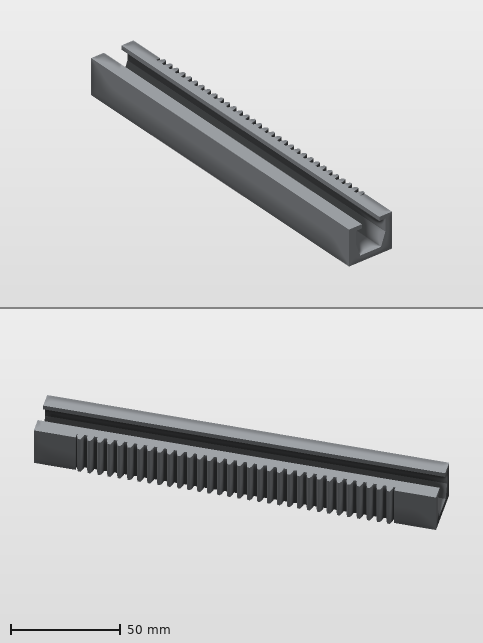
import cadquery as cq
import math

length = 190.0
overall_depth = 25.8
height = 20.0

wall = 4.0
floor_thickness = 3.5
lip_thickness = 2.3
cavity_width = 17.3
slot_width = 10.3
floor_width = 12.2
taper_top = 10.6
channel_center = wall + cavity_width / 2

tooth_count = 32
module = 1.5
pitch = math.pi * module
tooth_depth = 2.25 * module
first_tooth_x = 22.2
tooth_base_width = 3.2
tooth_shoulder_width = 2.5
tooth_crest_width = 1.1
shoulder_drop = 1.5
root_y = overall_depth - tooth_depth

start_land_end_x = 19.8
end_land_start_x = 170.2
start_land_drop = 1.1
end_land_drop = 0.8


def make_block():
    """Solid block up to the tooth roots."""
    return cq.Workplane("XY").box(length, root_y, height, centered=False)


def make_land(start_x, end_x, drop):
    """Plain strip standing on the root plane, its face set below the tooth crests."""
    land_depth = tooth_depth - drop
    return (
        cq.Workplane("XY")
        .box(end_x - start_x, land_depth, height, centered=False)
        .translate((start_x, root_y, 0))
    )


def make_tooth(center_x):
    """Full-height tooth with bulging flanks and a narrow flat crest."""
    half_base = tooth_base_width / 2
    half_shoulder = tooth_shoulder_width / 2
    half_crest = tooth_crest_width / 2
    shoulder_y = overall_depth - shoulder_drop
    return (
        cq.Workplane("XY")
        .moveTo(center_x - half_base, root_y)
        .threePointArc((center_x - half_shoulder, shoulder_y), (center_x - half_crest, overall_depth))
        .lineTo(center_x + half_crest, overall_depth)
        .threePointArc((center_x + half_shoulder, shoulder_y), (center_x + half_base, root_y))
        .close()
        .extrude(height)
    )


def make_channel():
    """Undercut channel: a slot between two lips over a cavity that tapers to the floor."""
    half_slot = slot_width / 2
    half_cavity = cavity_width / 2
    half_floor = floor_width / 2
    lip_underside = height - lip_thickness
    right_side = [
        (half_floor, floor_thickness),
        (half_cavity, taper_top),
        (half_cavity, lip_underside),
        (half_slot, lip_underside),
        (half_slot, height),
    ]
    left_side = [(-y, z) for y, z in reversed(right_side)]
    return (
        cq.Workplane("YZ")
        .polyline(right_side + left_side)
        .close()
        .extrude(length)
        .translate((0, channel_center, 0))
    )


rail = make_block()
rail = rail.union(make_land(0, start_land_end_x, start_land_drop))
rail = rail.union(make_land(end_land_start_x, length, end_land_drop))
for index in range(tooth_count):
    rail = rail.union(make_tooth(first_tooth_x + index * pitch))

result = rail.cut(make_channel())